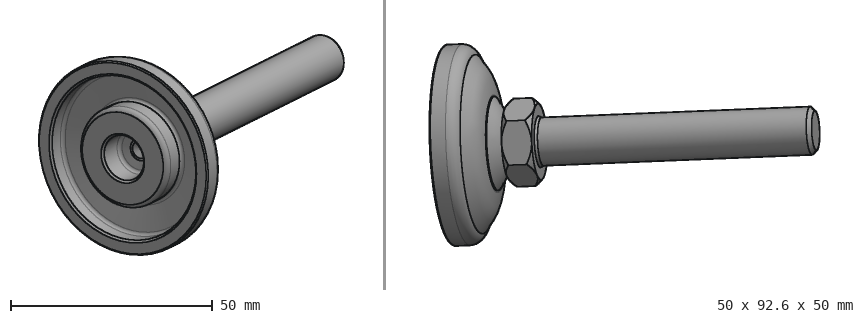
import cadquery as cq
import math


total_length = 92.6
shoulder_y = 11.5
nut_bottom_y = 15.0
nut_height = 7.7
nut_top_y = nut_bottom_y + nut_height

foot_radius = 25.0
foot_edge_chamfer = 0.4
rim_top_y = 4.2
knuckle_radius = 22.2
knuckle_y = 7.3
rim_mid_radius = 24.2
rim_mid_y = 6.1
land_radius = 12.1
crown_mid_radius = 17.5
crown_mid_y = 10.4

cavity_radius = 21.2
cavity_wall_y = 4.2
cavity_mouth_chamfer = 0.6
cavity_slope = math.radians(13)
boss_radius = 13.1
boss_face_radius = 11.9
boss_edge_height = 1.6
inner_fillet = 1.0

bore_radius = 5.8
bore_mouth_chamfer = 0.6
bore_wall_y = 6.3
bore_floor_slope = math.radians(12)

pin_radius = 2.8
dome_radius = 11.7
dome_lip_height = 0.3
dome_sphere_radius = 19.4
shank_radius = 6.0
shank_tip_chamfer = 1.1
collar_radius = 6.4
collar_height = 0.7
dimple_radius = 2.18
dimple_depth = 1.3

hex_flats = 19.0
hex_corner_radius = hex_flats / math.sqrt(3)
hex_turn = 18.8
hex_face_radius = 9.4


def fillet_reach(radius, slope):
    """Radial and axial extent of a fillet from an axial wall to a sloping cone."""
    return radius * (1 - math.sin(slope)), radius * math.cos(slope)


bore_run, bore_rise = fillet_reach(inner_fillet, bore_floor_slope)
bore_floor_radius = bore_radius - bore_run
bore_floor_y = bore_wall_y + bore_rise
pin_end_y = bore_floor_y + (bore_floor_radius - pin_radius) * math.tan(bore_floor_slope)


def revolve_about_y(profile):
    """Turn a closed (radius, Y) profile once round the Y axis."""
    return profile.close().revolve(360, (0, 0, 0), (0, 1, 0))


def make_foot():
    """Domed disc with a rim, a ring-shaped cavity and a bored centre boss."""
    profile = (
        cq.Workplane("XY")
        .moveTo(pin_radius, pin_end_y)
        .lineTo(pin_radius, shoulder_y)
        .lineTo(land_radius, shoulder_y)
        .threePointArc((crown_mid_radius, crown_mid_y), (knuckle_radius, knuckle_y))
        .threePointArc((rim_mid_radius, rim_mid_y), (foot_radius, rim_top_y))
        .lineTo(foot_radius, foot_edge_chamfer)
        .lineTo(foot_radius - foot_edge_chamfer, 0)
    )
    profile = (
        profile.lineTo(cavity_radius + cavity_mouth_chamfer, 0)
        .lineTo(cavity_radius, cavity_mouth_chamfer)
        .lineTo(cavity_radius, cavity_wall_y)
    )
    run, rise = fillet_reach(inner_fillet, cavity_slope)
    ceiling_outer = (cavity_radius - run, cavity_wall_y + rise)
    root_radius = boss_radius + run
    ceiling_rise = (ceiling_outer[0] - root_radius) * math.tan(cavity_slope)
    root_y = ceiling_outer[1] + ceiling_rise
    profile = (
        profile.tangentArcPoint(ceiling_outer, relative=False)
        .lineTo(root_radius, root_y)
        .tangentArcPoint((boss_radius, root_y - rise), relative=False)
        .lineTo(boss_radius, boss_edge_height)
        .tangentArcPoint((boss_face_radius, 0), relative=False)
    )
    profile = (
        profile.lineTo(bore_radius + bore_mouth_chamfer, 0)
        .lineTo(bore_radius, bore_mouth_chamfer)
        .lineTo(bore_radius, bore_wall_y)
    )
    profile = profile.tangentArcPoint((bore_floor_radius, bore_floor_y), relative=False)
    return revolve_about_y(profile)


def make_hexagon():
    """Hexagon with its corners chamfered at 45 degrees on both faces."""
    prism = (
        cq.Workplane("XZ", origin=(0, nut_top_y, 0))
        .polygon(6, 2 * hex_corner_radius)
        .extrude(nut_height)
        .rotate((0, 0, 0), (0, 1, 0), -hex_turn)
    )
    chamfer = hex_corner_radius - hex_face_radius
    envelope = (
        cq.Workplane("XZ", origin=(0, nut_top_y, 0))
        .circle(hex_corner_radius)
        .extrude(nut_height)
        .edges()
        .chamfer(chamfer)
    )
    return prism.intersect(envelope)


def make_stud():
    """Pin, spherical flange, hexagon and shank in one piece."""
    dome_base_y = shoulder_y + dome_lip_height
    sphere_y = dome_base_y - math.sqrt(dome_sphere_radius**2 - dome_radius**2)

    def dome_radius_at(y):
        return math.sqrt(dome_sphere_radius**2 - (y - sphere_y) ** 2)

    dome_mid_y = (dome_base_y + nut_bottom_y) / 2
    turned = revolve_about_y(
        cq.Workplane("XY")
        .moveTo(0, pin_end_y + dimple_depth)
        .lineTo(dimple_radius, pin_end_y)
        .lineTo(pin_radius, pin_end_y)
        .lineTo(pin_radius, shoulder_y)
        .lineTo(dome_radius, shoulder_y)
        .lineTo(dome_radius, dome_base_y)
        .threePointArc(
            (dome_radius_at(dome_mid_y), dome_mid_y),
            (dome_radius_at(nut_bottom_y), nut_bottom_y),
        )
        .lineTo(collar_radius, nut_top_y)
        .lineTo(shank_radius, nut_top_y + collar_height)
        .lineTo(shank_radius, total_length - shank_tip_chamfer)
        .lineTo(shank_radius - shank_tip_chamfer, total_length)
        .lineTo(0, total_length)
    )
    return turned.union(make_hexagon())


foot = make_foot()
stud = make_stud()
result = cq.Compound.makeCompound([foot.val(), stud.val()])